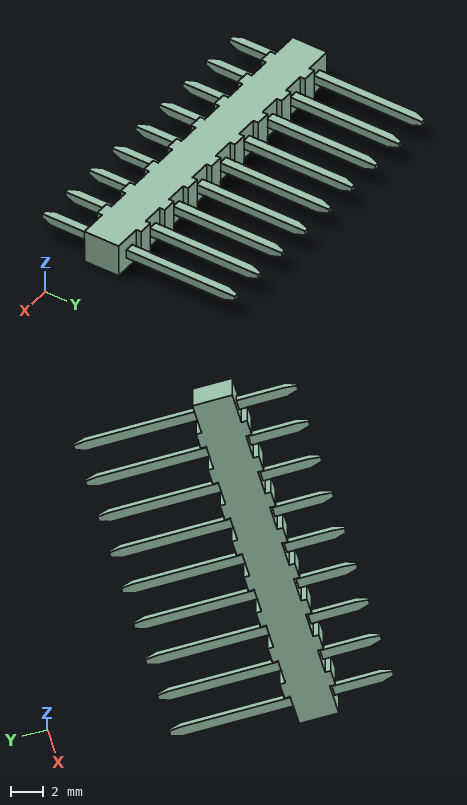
import cadquery as cq


pin_count = 9
bar_length = 22.6
bar_depth = 2.53
bar_height = 2.35
end_margin = 1.15
pin_pitch = (bar_length - 2 * end_margin) / (pin_count - 1)

rib_width = 1.0
rib_projection = 0.36

pin_width = 0.63
tip_width = 0.32
tip_length = 0.75
front_pin_reach = 3.8
back_pin_reach = 7.9

pin_front_y = -bar_depth / 2 - front_pin_reach
pin_back_y = bar_depth / 2 + back_pin_reach


def row_positions(count):
    """X positions of a centred row with one item per pin pitch."""
    return [(i - (count - 1) / 2) * pin_pitch for i in range(count)]


def make_tip(x, end_y, direction):
    """Square taper from the pin shank to its end face; direction is +1 toward +Y, -1 toward -Y."""
    base = cq.Plane(
        origin=(x, end_y - direction * tip_length, 0),
        xDir=(1, 0, 0),
        normal=(0, direction, 0),
    )
    return (
        cq.Workplane(base)
        .rect(pin_width, pin_width)
        .workplane(offset=tip_length)
        .rect(tip_width, tip_width)
        .loft(ruled=True)
    )


def make_pin(x):
    """Square shank passing through the bar, with a tapered tip at each end."""
    shank_length = pin_back_y - pin_front_y - 2 * tip_length
    shank_center_y = (pin_front_y + pin_back_y) / 2
    shank = cq.Workplane("XY").box(pin_width, shank_length, pin_width).translate((x, shank_center_y, 0))
    return shank.union(make_tip(x, pin_front_y, -1)).union(make_tip(x, pin_back_y, 1))


def make_bar():
    """Bar with full-height ribs standing out of both long sides."""
    bar = cq.Workplane("XY").box(bar_length, bar_depth, bar_height)
    rib_span = bar_depth + 2 * rib_projection
    for x in row_positions(pin_count - 1):
        bar = bar.union(cq.Workplane("XY").box(rib_width, rib_span, bar_height).translate((x, 0, 0)))
    return bar


result = make_bar()
for pin_x in row_positions(pin_count):
    result = result.union(make_pin(pin_x))